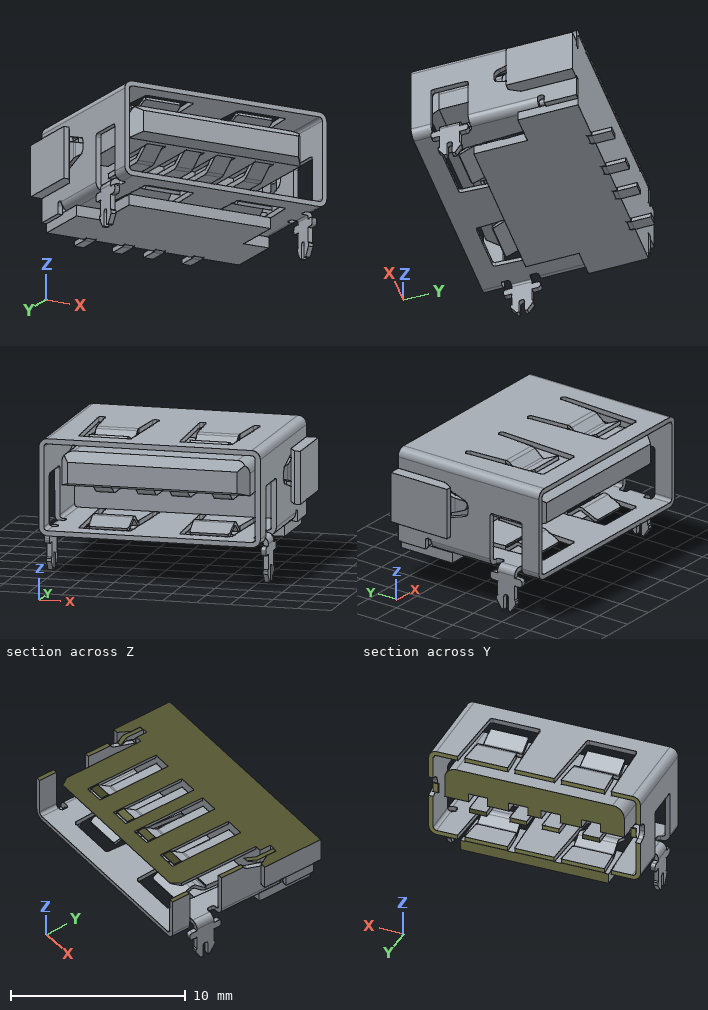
import cadquery as cq
import math


SHEET = 0.3
SHELL_WIDTH = 13.15
SHELL_HEIGHT = 5.7
SHELL_DEPTH = 10.0
SHELL_CORNER = 0.51
HALF_OUTER = SHELL_WIDTH / 2
HALF_INNER = HALF_OUTER - SHEET
INNER_CORNER = SHELL_CORNER - SHEET
CEILING = SHELL_HEIGHT - SHEET

WALL_FLAP_DEPTH = 1.94
WALL_FLAP_BOTTOM = -0.1
RELIEF_WIDTH = 0.42
RELIEF_TOP = 0.61
FLOOR_REAR = SHELL_DEPTH - WALL_FLAP_DEPTH - RELIEF_WIDTH

SPRING_PITCH = 5.99
OPENING_FRONT = 1.2
OPENING_REAR = 6.61
OPENING_HALF_FRONT = 1.55
OPENING_HALF_REAR = 1.81
OPENING_CORNER = 0.15
ARM_ROUND = 0.18
FINGER_ROOT = 4.1
FINGER_HALF_REAR = 1.42
FINGER_HALF_ROOT = 1.24
FINGER_HALF_TIP = 1.18
FINGER_TIP_CORNER = 0.28
FINGER_CREST = 3.21
FINGER_THICKNESS = 0.2
FINGER_CREST_DIP = 0.6
FINGER_TIP = 2.06
FINGER_TIP_DIP = 0.06
FINGER_BEND = 0.29

WINDOW_CENTER = 2.34
WINDOW_WIDTH = 2.25
WINDOW_TOP = 3.4
WINDOW_CORNER = 0.18
LEG_WIDTH = 1.23
RELIEF_SLOT = (WINDOW_WIDTH - LEG_WIDTH) / 2
RELIEF_SLOT_END = 5.84
RELIEF_SLOT_CORNER = 0.15
LEG_BOTTOM = -2.41
LEG_BEND = 0.26
LEG_BAR_TOP = -0.22
LEG_BAR_BOTTOM = -0.73
LEG_BAR_CORNER = 0.19
LEG_BARB_TOP = -1.6
LEG_BARB_BOTTOM = -1.87
LEG_BARB_WIDTH = 1.37
LEG_POINT_WIDTH = 0.67
LEG_SLIT_WIDTH = 0.32
LEG_SLIT_TOP = -1.43

LANCE_Z = 3.2
LANCE_ROOT = 6.79
LANCE_HALF_ROOT = 0.7
LANCE_TIP = 5.46
LANCE_PLAN_TIP = 5.39
LANCE_HALF_TIP = 0.25
LANCE_SHIFT = 0.35
LANCE_BEND_Y = 6.13
LANCE_BEND = 0.26
LANCE_ROUND = 0.22
LANCE_HOLE_HALF_ROOT = 1.01
LANCE_HOLE_TIP = 5.02
LANCE_HOLE_HALF_TIP = 0.42
LANCE_HOLE_ROUND = 0.41

WING_SPAN = 14.6
WING_LENGTH = 4.0
WING_TOP = 4.47
WING_BOTTOM = 1.36
WING_BEVEL_LENGTH = 0.65
WING_TIP_THICKNESS = 0.35
WEB_TOP = 4.13
WEB_BOTTOM = 1.53
WEB_LENGTH = 2.63

BODY_DEPTH = 3.36
BODY_FRONT = SHELL_DEPTH - BODY_DEPTH
BASE_BOTTOM = -0.65
BASE_WIDE_LENGTH = 3.64
BASE_NARROW_LENGTH = 6.86
BASE_NARROW_WIDTH = 9.2
NOTCH_WIDTH = 9.64
NOTCH_DEPTH = 0.1
LANCE_POCKET = 0.28

TONGUE_HALF = 5.58
TONGUE_TOP = 4.76
TONGUE_BOTTOM = 2.73
TONGUE_CORNER = 0.73
TONGUE_SHOULDER = 1.37
TONGUE_FRONT = 0.6
NOSE_HALF = 5.04
NOSE_TOP = 4.25
NOSE_BOTTOM = 3.0

CONTACT_X = (-3.5, -1.01, 1.01, 3.5)
CONTACT_THICKNESS = 0.3
CONTACT_WIDTH = 1.07
TAIL_WIDTH = 0.63
TAIL_LENGTH = 1.2
TAIL_BOTTOM = -0.73
CONTACT_BOTTOM = 2.01
CONTACT_DROP = 3.3
CONTACT_TIP = 2.05
CONTACT_TIP_Z = 3.04
CONTACT_BEND = 0.38
RISER_INSET = 0.38
GROOVE_WIDTH = 1.15
GROOVE_TOP = 3.27
GROOVE_FRONT = 1.82


def box(x0, x1, y0, y1, z0, z1):
    """Box given by its limits along each axis."""
    return cq.Workplane("XY").box(x1 - x0, y1 - y0, z1 - z0, centered=False).translate((x0, y0, z0))


def both_sides(solid):
    """The solid together with its mirror image across X = 0."""
    return solid.union(solid.mirror("YZ"))


def bent_strip(plane, path, thickness, radius):
    """Closed section of a strip that follows path, with each bend rounded about its centre line."""
    half = thickness / 2
    directions = []
    for (u0, v0), (u1, v1) in zip(path, path[1:]):
        length = math.hypot(u1 - u0, v1 - v0)
        directions.append(((u1 - u0) / length, (v1 - v0) / length))

    def offset(point, direction, side):
        return (point[0] - side * half * direction[1], point[1] + side * half * direction[0])

    def bend(index, side):
        """Start, middle and end of the arc that one side of the strip makes at a path point."""
        (u, v), before, after = path[index], directions[index - 1], directions[index]
        turn = math.atan2(before[0] * after[1] - before[1] * after[0],
                          before[0] * after[0] + before[1] * after[1])
        setback = radius * math.tan(abs(turn) / 2)
        start = (u - setback * before[0], v - setback * before[1])
        end = (u + setback * after[0], v + setback * after[1])
        inward = math.copysign(1, turn)
        center = (start[0] - inward * radius * before[1], start[1] + inward * radius * before[0])
        reach = math.hypot(u - center[0], v - center[1])
        scale = (radius - inward * side * half) / reach
        middle = (center[0] + scale * (u - center[0]), center[1] + scale * (v - center[1]))
        return offset(start, before, side), middle, offset(end, after, side)

    bends = range(1, len(path) - 1)
    section = cq.Workplane(plane).moveTo(*offset(path[0], directions[0], 1))
    for index in bends:
        start, middle, end = bend(index, 1)
        section = section.lineTo(*start).threePointArc(middle, end)
    section = section.lineTo(*offset(path[-1], directions[-1], 1))
    section = section.lineTo(*offset(path[-1], directions[-1], -1))
    for index in reversed(bends):
        start, middle, end = bend(index, -1)
        section = section.lineTo(*end).threePointArc(middle, start)
    return section.lineTo(*offset(path[0], directions[0], -1)).close()


def rounded_bar(half_width, bottom, top, corner, depth):
    """Bar along Y from the mouth plane, with rounded long edges."""
    bar = box(-half_width, half_width, 0, depth, bottom, top)
    return bar.edges("|Y").fillet(corner)



def shell_tube():
    """Tube whose floor is cut away at the rear, with the side walls extended down there."""
    tube = rounded_bar(HALF_OUTER, 0, SHELL_HEIGHT, SHELL_CORNER, SHELL_DEPTH)
    tube = tube.cut(rounded_bar(HALF_INNER, SHEET, CEILING, INNER_CORNER, SHELL_DEPTH))
    round_radius = RELIEF_WIDTH / 2
    relief_center = RELIEF_TOP - round_radius
    tube = tube.cut(box(-HALF_OUTER, HALF_OUTER, FLOOR_REAR, SHELL_DEPTH, 0, relief_center))
    relief = cq.Workplane("YZ").center(FLOOR_REAR + round_radius, relief_center).circle(round_radius)
    tube = tube.cut(relief.extrude(HALF_OUTER, both=True))
    flap_front = SHELL_DEPTH - WALL_FLAP_DEPTH
    rear_end = box(-HALF_OUTER, HALF_OUTER, flap_front, SHELL_DEPTH, 0, SHELL_CORNER)
    flap = box(HALF_INNER, HALF_OUTER, flap_front, SHELL_DEPTH, WALL_FLAP_BOTTOM, SHELL_CORNER)
    return tube.cut(rear_end).union(both_sides(flap))


def opening_half_width(y):
    """Half-width of a spring opening, which narrows evenly toward the mouth."""
    share = (y - OPENING_FRONT) / (OPENING_REAR - OPENING_FRONT)
    return OPENING_HALF_FRONT + share * (OPENING_HALF_REAR - OPENING_HALF_FRONT)


def spring_opening():
    """U-shaped cut in the roof that frees one spring finger."""
    half_root = opening_half_width(FINGER_ROOT)
    front = (
        cq.Workplane("XY")
        .polyline([(-OPENING_HALF_FRONT, OPENING_FRONT), (OPENING_HALF_FRONT, OPENING_FRONT),
                   (half_root, FINGER_ROOT), (-half_root, FINGER_ROOT)])
        .close().extrude(SHELL_HEIGHT).edges("|Z and <Y").fillet(OPENING_CORNER)
    )
    arm = (
        cq.Workplane("XY")
        .polyline([(FINGER_HALF_ROOT, FINGER_ROOT), (half_root, FINGER_ROOT),
                   (OPENING_HALF_REAR, OPENING_REAR), (FINGER_HALF_REAR, OPENING_REAR)])
        .close().extrude(SHELL_HEIGHT).edges("|Z and >Y").fillet(ARM_ROUND)
    )
    roof_only = box(-SHELL_WIDTH, SHELL_WIDTH, 0, SHELL_DEPTH, CEILING, SHELL_HEIGHT)
    return front.union(both_sides(arm)).intersect(roof_only)


def spring_finger():
    """Bent free end of one roof finger: dips inward to a crest and turns back out at the tip."""
    middle = SHELL_HEIGHT - FINGER_THICKNESS / 2
    path = [(FINGER_ROOT + FINGER_BEND, middle),
            (FINGER_ROOT - FINGER_BEND / 2, middle),
            (FINGER_CREST, middle - FINGER_CREST_DIP),
            (FINGER_TIP, middle - FINGER_TIP_DIP)]
    strip = bent_strip("YZ", path, FINGER_THICKNESS, FINGER_BEND).extrude(FINGER_HALF_ROOT, both=True)
    plan_front = FINGER_TIP - FINGER_THICKNESS / 2
    plan = (
        cq.Workplane("XY")
        .polyline([(-FINGER_HALF_TIP, plan_front), (FINGER_HALF_TIP, plan_front),
                   (FINGER_HALF_ROOT, FINGER_ROOT + FINGER_BEND),
                   (-FINGER_HALF_ROOT, FINGER_ROOT + FINGER_BEND)])
        .close().extrude(SHELL_HEIGHT + SHEET).edges("|Z and <Y").fillet(FINGER_TIP_CORNER)
    )
    return strip.intersect(plan)


def add_springs(shell):
    """Two fingers in the roof and their mirror images in the floor."""
    mid_height = (0, 0, SHELL_HEIGHT / 2)
    for x in (-SPRING_PITCH / 2, SPRING_PITCH / 2):
        opening = spring_opening().translate((x, 0, 0))
        finger = spring_finger().translate((x, 0, 0))
        shell = shell.cut(opening).cut(opening.mirror("XY", mid_height))
        shell = shell.union(finger).union(finger.mirror("XY", mid_height))
    return shell


def window_cut():
    """Window in the right wall, open at the floor, with relief slots beside the leg."""
    y0 = WINDOW_CENTER - WINDOW_WIDTH / 2
    y1 = WINDOW_CENTER + WINDOW_WIDTH / 2
    cut = box(HALF_INNER - INNER_CORNER, HALF_OUTER, y0, y1, 0, WINDOW_TOP)
    cut = cut.edges("|X and >Z").fillet(WINDOW_CORNER)
    for slot_y0 in (y0, y1 - RELIEF_SLOT):
        slot = box(RELIEF_SLOT_END, HALF_OUTER, slot_y0, slot_y0 + RELIEF_SLOT, 0, SHEET)
        cut = cut.union(slot.edges("|Z and <X").fillet(RELIEF_SLOT_CORNER))
    return cut


def leg_outline():
    """Face of the leg in the YZ plane: neck, rounded crossbar and split barbed point."""
    neck, barb, point = LEG_WIDTH / 2, LEG_BARB_WIDTH / 2, LEG_POINT_WIDTH / 2
    right_edge = [(neck, SHEET), (neck, LEG_BARB_TOP), (barb, LEG_BARB_TOP - (barb - neck)),
                  (barb, LEG_BARB_BOTTOM), (point, LEG_BOTTOM)]
    left_edge = [(-y, z) for y, z in reversed(right_edge)]
    face = cq.Workplane("YZ").polyline(right_edge + left_edge).close().extrude(SHELL_WIDTH)
    bar = box(0, SHELL_WIDTH, -WINDOW_WIDTH / 2, WINDOW_WIDTH / 2, LEG_BAR_BOTTOM, LEG_BAR_TOP)
    bar = bar.edges("|X").fillet(LEG_BAR_CORNER)
    slit_length = LEG_SLIT_TOP - LEG_BOTTOM + LEG_SLIT_WIDTH
    slit_middle = LEG_SLIT_TOP - slit_length / 2
    slit = cq.Workplane("YZ").center(0, slit_middle).slot2D(slit_length, LEG_SLIT_WIDTH, 90)
    outline = face.union(bar).cut(slit.extrude(SHELL_WIDTH))
    return outline.translate((0, WINDOW_CENTER, 0))


def leg():
    """Right leg: runs out from the floor and bends down flush with the side wall."""
    middle = SHEET / 2
    path = [(HALF_INNER - SHELL_CORNER, middle), (HALF_OUTER - middle, middle),
            (HALF_OUTER - middle, LEG_BOTTOM)]
    strip = bent_strip("XZ", path, SHEET, LEG_BEND).extrude(-WINDOW_CENTER * 2)
    return strip.intersect(leg_outline())


def lance_plan(half_root, tip, half_tip, corner):
    """Side face of a lance or its hole: tapers toward the mouth to a rounded tip."""
    return (
        cq.Workplane("YZ").center(0, LANCE_Z)
        .polyline([(LANCE_ROOT, -half_root), (LANCE_ROOT, half_root), (tip, half_tip), (tip, -half_tip)])
        .close().extrude(SHELL_WIDTH).edges("|X and <Y").fillet(corner)
    )


def lance():
    """Right lance: tab of the wall bent inward from its root."""
    middle = HALF_OUTER - SHEET / 2
    path = [(middle, LANCE_ROOT + SHEET), (middle, LANCE_BEND_Y),
            (middle - LANCE_SHIFT, LANCE_TIP)]
    strip = bent_strip("XY", path, SHEET, LANCE_BEND).extrude(SHELL_HEIGHT)
    root = box(0, SHELL_WIDTH, LANCE_ROOT, LANCE_ROOT + SHEET,
               LANCE_Z - LANCE_HALF_ROOT, LANCE_Z + LANCE_HALF_ROOT)
    plan = lance_plan(LANCE_HALF_ROOT, LANCE_PLAN_TIP, LANCE_HALF_TIP, LANCE_ROUND)
    return strip.intersect(plan.union(root))


def lance_hole():
    """Hole in the right wall around the lance."""
    hole = lance_plan(LANCE_HOLE_HALF_ROOT, LANCE_HOLE_TIP, LANCE_HOLE_HALF_TIP, LANCE_HOLE_ROUND)
    return hole.intersect(box(HALF_INNER, HALF_OUTER, 0, SHELL_DEPTH, 0, SHELL_HEIGHT))


def wing_web():
    """Web that joins the right wing to the body through the open rear slot of the wall."""
    return box(HALF_INNER, HALF_OUTER, SHELL_DEPTH - WEB_LENGTH, SHELL_DEPTH, WEB_BOTTOM, WEB_TOP)


def make_shell():
    shell = add_springs(shell_tube())
    shell = shell.cut(both_sides(window_cut())).union(both_sides(leg()))
    shell = shell.cut(both_sides(lance_hole())).union(both_sides(lance()))
    return shell.cut(both_sides(wing_web()))



def make_contact(x):
    """Contact: board tail, riser, and a blade that runs forward and rises to its tip in the tongue."""
    half = CONTACT_THICKNESS / 2
    riser_y = SHELL_DEPTH - RISER_INSET
    path = [(SHELL_DEPTH + TAIL_LENGTH, TAIL_BOTTOM + half),
            (riser_y, TAIL_BOTTOM + half),
            (riser_y, CONTACT_BOTTOM + half),
            (CONTACT_DROP, CONTACT_BOTTOM + half),
            (CONTACT_TIP, CONTACT_TIP_Z)]
    contact = bent_strip("YZ", path, CONTACT_THICKNESS, CONTACT_BEND).extrude(CONTACT_WIDTH / 2, both=True)
    trim = box(TAIL_WIDTH / 2, CONTACT_WIDTH, 0, SHELL_DEPTH + TAIL_LENGTH, TAIL_BOTTOM, 0)
    contact = contact.cut(both_sides(trim))
    return contact.translate((x, 0, 0))



def body_block():
    """Block that fills the rear of the shell, with the base below the floor."""
    block = rounded_bar(HALF_INNER, SHEET, CEILING, INNER_CORNER, SHELL_DEPTH)
    block = block.intersect(box(-HALF_INNER, HALF_INNER, BODY_FRONT, SHELL_DEPTH, 0, SHELL_HEIGHT))
    rear = SHELL_DEPTH - WALL_FLAP_DEPTH
    block = block.union(box(-HALF_INNER, HALF_INNER, rear, SHELL_DEPTH, BASE_BOTTOM, SHELL_CORNER))
    wide_front = SHELL_DEPTH - BASE_WIDE_LENGTH
    block = block.union(box(-HALF_INNER, HALF_INNER, wide_front, SHELL_DEPTH, BASE_BOTTOM, 0))
    narrow = BASE_NARROW_WIDTH / 2
    narrow_front = SHELL_DEPTH - BASE_NARROW_LENGTH
    block = block.union(box(-narrow, narrow, narrow_front, SHELL_DEPTH, BASE_BOTTOM, 0))
    notch = NOTCH_WIDTH / 2
    return block.cut(box(-notch, notch, BODY_FRONT, SHELL_DEPTH, CEILING - NOTCH_DEPTH, CEILING))


def lance_pocket():
    """Recess in the right side of the body that clears the lance."""
    rear = SHELL_DEPTH - WEB_LENGTH
    return box(HALF_INNER - LANCE_POCKET, HALF_INNER, BODY_FRONT, rear, WEB_BOTTOM, WEB_TOP)


def tongue():
    """Tongue with rounded top edges and a nose that tapers on all four sides."""
    shank = box(-TONGUE_HALF, TONGUE_HALF, TONGUE_FRONT, BODY_FRONT, TONGUE_BOTTOM, TONGUE_TOP)
    shank = shank.edges("|Y and >Z").fillet(TONGUE_CORNER)
    taper = TONGUE_SHOULDER - TONGUE_FRONT
    nose = (
        cq.Workplane("XZ", origin=(0, TONGUE_SHOULDER, 0))
        .center(0, (TONGUE_TOP + TONGUE_BOTTOM) / 2)
        .rect(2 * TONGUE_HALF, TONGUE_TOP - TONGUE_BOTTOM)
        .workplane(offset=taper)
        .center(0, (NOSE_TOP + NOSE_BOTTOM - TONGUE_TOP - TONGUE_BOTTOM) / 2)
        .rect(2 * NOSE_HALF, NOSE_TOP - NOSE_BOTTOM)
        .loft(ruled=True)
    )
    rear = box(-TONGUE_HALF, TONGUE_HALF, TONGUE_SHOULDER, BODY_FRONT, TONGUE_BOTTOM, TONGUE_TOP)
    return shank.intersect(nose.union(rear))


def wing():
    """Right wing outside the shell, beveled at the front on its inner side."""
    half_span = WING_SPAN / 2
    front = SHELL_DEPTH - WING_LENGTH
    return (
        cq.Workplane("XY", origin=(0, 0, WING_BOTTOM))
        .polyline([(HALF_OUTER, SHELL_DEPTH), (half_span, SHELL_DEPTH), (half_span, front),
                   (half_span - WING_TIP_THICKNESS, front), (HALF_OUTER, front + WING_BEVEL_LENGTH)])
        .close().extrude(WING_TOP - WING_BOTTOM)
    )


def make_insulator():
    insulator = body_block().union(tongue())
    insulator = insulator.cut(both_sides(lance_pocket()))
    insulator = insulator.union(both_sides(wing_web().union(wing())))
    for x in CONTACT_X:
        half = GROOVE_WIDTH / 2
        groove = box(x - half, x + half, GROOVE_FRONT, BODY_FRONT, TONGUE_BOTTOM, GROOVE_TOP)
        insulator = insulator.cut(groove).cut(make_contact(x))
    return insulator


shell = make_shell()
insulator = make_insulator()
contacts = [make_contact(x) for x in CONTACT_X]

result = cq.Compound.makeCompound([
    shell.solids().val(),
    insulator.solids().val(),
    *[contact.solids().val() for contact in contacts],
])